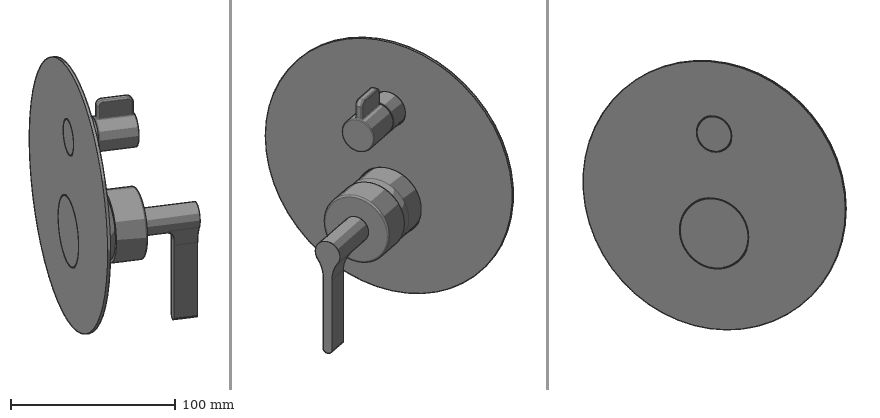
import cadquery as cq
import math

plate_radius = 85.0
plate_thickness = 2.0

diverter_z = 39.1
diverter_radius = 11.0
diverter_base_end = 16.1
diverter_end = 41.8
diverter_edge_fillet = 0.5

tab_width = 4.8
tab_start = 17.7
tab_end = 40.7
tab_top = 62.0
tab_corner_radius = 3.7
tab_edge_fillet = 1.0
tab_root_fillet = 0.45

mixer_z = -24.0
sleeve_radius = 22.0
sleeve_end = 17.2
shoulder_end_radius = 20.2
collar_radius = 22.5
collar_start = 23.9
collar_end = 43.9
collar_edge_fillet = 1.0
rod_radius = 8.5
rod_end = 81.0

blade_width = 6.0
blade_depth = 15.0
blade_bottom = -92.0
blade_tip_rise = 2.0
flare_radius = 20.0
blade_root_fillet = 5.0

hole_clearance = 0.5


def disc(radius, start, end, z):
    """Cylinder along Y between two Y positions, with its axis at height z."""
    plane = cq.Workplane("XZ", origin=(0, start, z))
    return plane.circle(radius).extrude(start - end)


def make_plate():
    """Disc with a through hole for each fitting."""
    plate = disc(plate_radius, 0, plate_thickness, 0)
    diverter_hole = disc(diverter_radius + hole_clearance, 0, plate_thickness, diverter_z)
    mixer_hole = disc(sleeve_radius + hole_clearance, 0, plate_thickness, mixer_z)
    return plate.cut(diverter_hole).cut(mixer_hole)


def make_tab():
    """Upright tab with rounded corners and softened edges, reaching down to the knob axis."""
    tab_middle = (tab_start + tab_end) / 2
    tab = cq.Workplane("XY", origin=(0, tab_middle, diverter_z)).box(
        tab_width, tab_end - tab_start, tab_top - diverter_z, centered=(True, True, False)
    )
    tab = tab.edges("|X and >Z").fillet(tab_corner_radius)
    return tab.faces("<X or >X").edges("not <Z").fillet(tab_edge_fillet)


def round_tab_root(knob):
    """Fillet the edges where the tab meets the knob, found in a box around the top of the knob."""
    knob_top = diverter_z + diverter_radius
    root_edges = cq.selectors.BoxSelector(
        (-tab_width, tab_start - tab_root_fillet, knob_top - tab_edge_fillet),
        (tab_width, tab_end + tab_root_fillet, knob_top + tab_root_fillet),
        boundingbox=True,
    )
    return knob.edges(root_edges).fillet(tab_root_fillet)


def make_diverter():
    """Knob and base sleeve in one piece; their rounded edges leave a V-shaped groove between them."""
    knob = disc(diverter_radius, diverter_base_end, diverter_end, diverter_z)
    knob = knob.faces("<Y or >Y").edges().fillet(diverter_edge_fillet)
    knob = round_tab_root(knob.union(make_tab()))
    base = disc(diverter_radius, 0, diverter_base_end, diverter_z)
    base = base.faces(">Y").edges().fillet(diverter_edge_fillet)
    return knob.union(base)


def make_mixer_core():
    """Turned sleeve with a domed shoulder, then the collar and the rod."""
    shoulder_length = collar_start - sleeve_end
    shoulder_drop = sleeve_radius - shoulder_end_radius
    shoulder_arc_radius = (shoulder_length**2 + shoulder_drop**2) / (2 * shoulder_drop)
    half_angle = math.asin(shoulder_length / shoulder_arc_radius) / 2
    shoulder_middle = (
        sleeve_radius - shoulder_arc_radius * (1 - math.cos(half_angle)),
        sleeve_end + shoulder_arc_radius * math.sin(half_angle),
    )
    sleeve = (
        cq.Workplane("XY", origin=(0, 0, mixer_z))
        .lineTo(sleeve_radius, 0)
        .lineTo(sleeve_radius, sleeve_end)
        .threePointArc(shoulder_middle, (shoulder_end_radius, collar_start))
        .lineTo(0, collar_start)
        .close()
        .revolve(360, (0, 0, 0), (0, 1, 0))
    )
    collar = disc(collar_radius, collar_start, collar_end, mixer_z)
    collar = collar.faces(">Y").edges().fillet(collar_edge_fillet)
    rod = disc(rod_radius, collar_end, rod_end, mixer_z)
    return sleeve.union(collar).union(rod)


def blade_prism(start):
    """Blade outline extruded along Y from start to the rod end; flared tangentially into the rod."""
    half_width = blade_width / 2
    flare_x = half_width + flare_radius
    flare_drop = math.sqrt((rod_radius + flare_radius) ** 2 - flare_x**2)
    touch_ratio = rod_radius / (rod_radius + flare_radius)
    touch_x = flare_x * touch_ratio
    touch_z = -flare_drop * touch_ratio
    middle_angle = math.atan2(flare_drop, flare_x) / 2
    middle_x = flare_x - flare_radius * math.cos(middle_angle)
    middle_z = -flare_drop + flare_radius * math.sin(middle_angle)
    tip_z = blade_bottom - mixer_z
    side_end_z = tip_z + blade_tip_rise
    return (
        cq.Workplane("XZ", origin=(0, start, mixer_z))
        .lineTo(touch_x, touch_z)
        .threePointArc((middle_x, middle_z), (half_width, -flare_drop))
        .lineTo(half_width, side_end_z)
        .threePointArc((0, tip_z), (-half_width, side_end_z))
        .lineTo(-half_width, -flare_drop)
        .threePointArc((-middle_x, middle_z), (-touch_x, touch_z))
        .close()
        .extrude(start - rod_end)
    )


def blade_root(blade_front):
    """Fillet ring around the rod where it meets the blade front, trimmed to the blade outline."""
    ring_start = blade_front - blade_root_fillet
    ring_radius = rod_radius + blade_root_fillet
    arc_inset = blade_root_fillet * math.sqrt(0.5)
    ring = (
        cq.Workplane("XY", origin=(0, 0, mixer_z))
        .moveTo(0, ring_start)
        .lineTo(rod_radius, ring_start)
        .threePointArc((ring_radius - arc_inset, ring_start + arc_inset), (ring_radius, blade_front))
        .lineTo(0, blade_front)
        .close()
        .revolve(360, (0, 0, 0), (0, 1, 0))
    )
    return ring.intersect(blade_prism(ring_start))


def make_mixer():
    """Turned core with the lever blade joined to the end of its rod."""
    blade_front = rod_end - blade_depth
    return make_mixer_core().union(blade_prism(blade_front)).union(blade_root(blade_front))


plate = make_plate()
diverter = make_diverter()
mixer = make_mixer()

bodies = [plate, diverter, mixer]
result = cq.Compound.makeCompound([body.solids().val() for body in bodies])